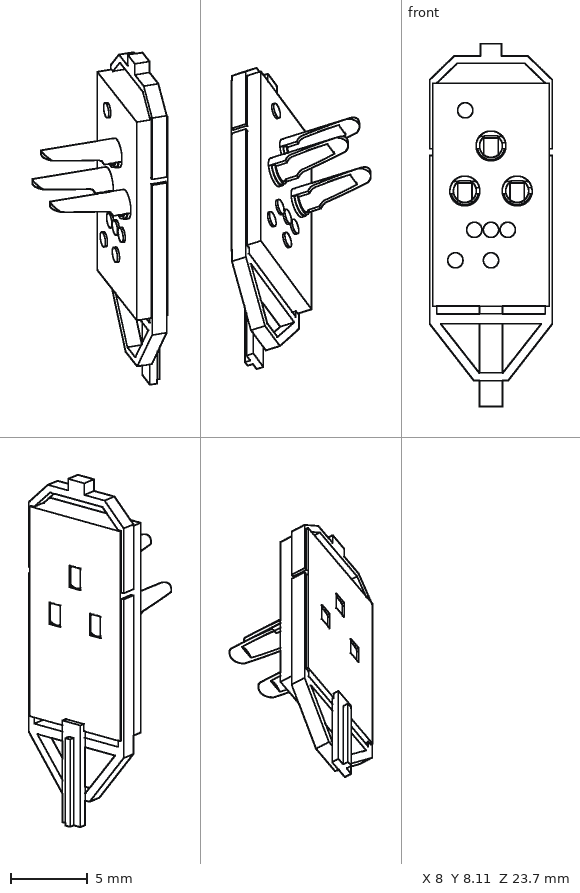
import cadquery as cq


frame_width = 8.0
frame_depth = 1.02
leg_width = 0.47
frame_top = 22.9
band_height = 0.5
upper_shoulder = 21.33
upper_flat_width = 4.79
upper_opening_flat_width = 4.4
tab_width = 1.37
total_height = 23.7
upper_leg_end = 16.83
lower_leg_end = 16.4
crossbar_bottom = 5.4
crossbar_height = 0.66
frame_bottom = 1.7
lower_flat_width = 2.25
lower_opening_top_width = 6.55
opening_width = frame_width - 2 * leg_width

housing_width = 7.63
housing_bottom = 6.56
housing_top = 21.12
housing_front = -2.01
back_wall = 0.15

stem_width = 1.52
stem_thickness = 0.5
stem_top = 7.06
rail_width = 0.4
rail_thickness = 0.38
rail_top = crossbar_bottom + crossbar_height

prong_diameter = 1.95
prong_radius = prong_diameter / 2
bore_diameter = 1.5
prong_tip = -7.23
bore_end_gap = 1.15
collar_height = 0.21
spigot_diameter = 1.8
spigot_height = 0.43
side_wall_top = 0.1
wall_bottom = -0.2
wall_length = 1.23
throat_length = 1.8
throat_bend_length = 1.4
throat_bend_rise = 0.07
throat_rise = 0.21
tip_rise = 0.66
tip_radius = 0.85
window_width = 0.92
prong_spacing = 3.41
upper_prong_z = 17.02
lower_prong_z = 14.08
prong_places = [
    (0, upper_prong_z),
    (-prong_spacing / 2, lower_prong_z),
    (prong_spacing / 2, lower_prong_z),
]

button_diameter = 1.0
button_height = 0.15
button_row_pitch = 1.1
button_row_z = 11.55
lower_button_z = 9.55
button_places = [
    (-1.68, 19.35),
    (-button_row_pitch, button_row_z),
    (0, button_row_z),
    (button_row_pitch, button_row_z),
    (-2.32, lower_button_z),
    (0, lower_button_z),
]


def block(width, front, back, bottom, top):
    """Box centred on X = 0."""
    box = cq.Workplane("XY").box(width, back - front, top - bottom, centered=(True, False, False))
    return box.translate((0, front, bottom))


def disc(diameter, front, back, place):
    """Cylinder along Y, centred at place = (x, z)."""
    return (
        cq.Workplane("XZ", origin=(place[0], back, place[1]))
        .circle(diameter / 2)
        .extrude(back - front)
    )


def mirrored_prism(right_side):
    """Plate as thick as the frames, from the right half of an outline that is symmetric about X = 0."""
    left_side = [(-x, z) for x, z in reversed(right_side)]
    return cq.Workplane("XZ").polyline(right_side + left_side).close().extrude(frame_depth)


def make_upper_frame():
    outside = mirrored_prism([
        (frame_width / 2, upper_leg_end),
        (frame_width / 2, upper_shoulder),
        (upper_flat_width / 2, frame_top),
        (tab_width / 2, frame_top),
        (tab_width / 2, total_height),
    ])
    opening = mirrored_prism([
        (opening_width / 2, upper_leg_end),
        (opening_width / 2, housing_top),
        (upper_opening_flat_width / 2, frame_top - band_height),
    ])
    return outside.cut(opening)


def make_lower_frame():
    outside = mirrored_prism([
        (lower_flat_width / 2, frame_bottom),
        (frame_width / 2, crossbar_bottom),
        (frame_width / 2, lower_leg_end),
    ])
    leg_gap = block(opening_width, -frame_depth, 0, crossbar_bottom + crossbar_height, lower_leg_end)
    opening = mirrored_prism([
        (stem_width / 2, frame_bottom + band_height),
        (lower_opening_top_width / 2, crossbar_bottom),
    ])
    return outside.cut(leg_gap).cut(opening)


def make_stem():
    bar = block(stem_width, 0, stem_thickness, 0, stem_top)
    rail = block(rail_width, stem_thickness, stem_thickness + rail_thickness, 0, rail_top)
    return bar.union(rail)


def make_prong(place):
    """Solid prong without its bore: half a collar and half a spigot below a scooped, round-tipped spout."""
    x, z = place
    collar = disc(prong_diameter, housing_front - collar_height, housing_front, place)
    spigot = disc(spigot_diameter, housing_front - spigot_height, housing_front, place)

    wall_end = housing_front - wall_length
    throat_end = housing_front - throat_length
    throat_bend = (housing_front - throat_bend_length, throat_bend_rise)
    side_profile = (
        cq.Workplane("YZ", origin=(x, 0, z))
        .moveTo(housing_front, prong_radius)
        .lineTo(housing_front, wall_bottom)
        .lineTo(wall_end, wall_bottom)
        .threePointArc(throat_bend, (throat_end, throat_rise))
        .lineTo(prong_tip, tip_rise)
        .lineTo(prong_tip, prong_radius)
        .close()
        .extrude(prong_radius, both=True)
    )
    tip_start = prong_tip + tip_radius
    plan = (
        cq.Workplane("XY", origin=(x, 0, z - prong_radius))
        .moveTo(prong_radius, housing_front)
        .lineTo(prong_radius, tip_start)
        .lineTo(tip_radius, tip_start)
        .threePointArc((0, prong_tip), (-tip_radius, tip_start))
        .lineTo(-prong_radius, tip_start)
        .lineTo(-prong_radius, housing_front)
        .close()
        .extrude(prong_diameter)
    )
    arch = (
        cq.Workplane("XZ", origin=(x, housing_front, z))
        .moveTo(-prong_radius, wall_bottom)
        .lineTo(-prong_radius, side_wall_top)
        .threePointArc((0, prong_radius), (prong_radius, side_wall_top))
        .lineTo(prong_radius, wall_bottom)
        .close()
        .extrude(housing_front - prong_tip)
    )
    spout = arch.intersect(side_profile).intersect(plan)
    spout_space = block(prong_diameter, prong_tip, housing_front, wall_bottom, prong_radius)
    base = collar.union(spigot).cut(spout_space.translate((x, 0, z)))
    return base.union(spout)


def make_passage(place):
    """Round bore from near the prong tip to the back wall, then a rectangular window through that wall."""
    x, z = place
    bore = disc(bore_diameter, prong_tip + bore_end_gap, 0, place)
    half_height = bore_diameter / 2
    window = block(window_width, 0, back_wall, z - half_height, z + half_height).translate((x, 0, 0))
    return bore.union(window)


def make_housing(neighbours):
    """Plate with its prongs, recessed for the frame legs and for the top of the stem."""
    housing = block(housing_width, housing_front, back_wall, housing_bottom, housing_top)
    for place in prong_places:
        housing = housing.union(make_prong(place))
    for place in prong_places:
        housing = housing.cut(make_passage(place))
    for neighbour in neighbours:
        housing = housing.cut(neighbour)
    return housing


def make_button(place):
    return disc(button_diameter, housing_front - button_height, housing_front, place)


upper_frame = make_upper_frame()
lower_frame = make_lower_frame()
stem = make_stem()
housing = make_housing([upper_frame, lower_frame, stem])
buttons = [make_button(place) for place in button_places]

result = cq.Compound.makeCompound(
    [housing.val(), upper_frame.val(), lower_frame.val(), stem.val()] + [button.val() for button in buttons]
)